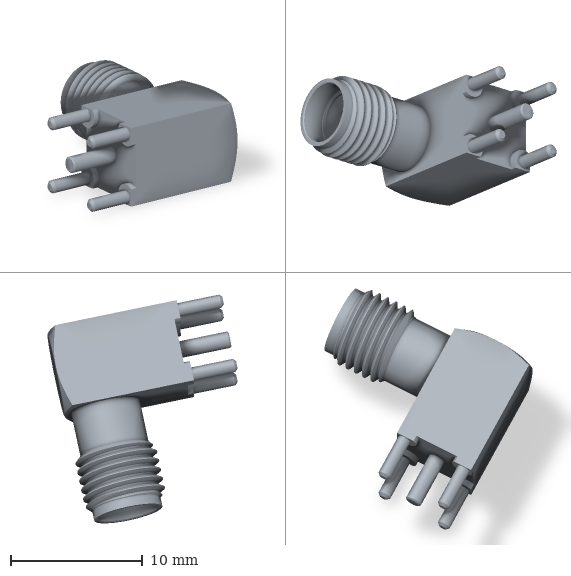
import cadquery as cq
import math


overall_length = 14.8
body_width = 6.35
half_width = body_width / 2
overall_depth = 13.5
pin_length = 3.46
body_depth = overall_depth - pin_length
back_y = half_width
front_y = back_y - body_depth
back_taper_angle = 25.0

trim_margin = 0.15

foot_height = 0.47
foot_diameter = 2.0
pin_offset = 2.55
pin_tip_y = front_y - pin_length
corner_pin_diameter = 1.0
corner_pin_chamfer = 0.2
center_pin_diameter = 1.27
center_pin_chamfer = 0.1

mouth_x = half_width - overall_length
barrel_diameter = 5.3
bore_diameter = 4.6
bore_depth = 1.9
mouth_chamfer = 0.07
floor_chamfer = 0.06

insulator_diameter = 3.98
insulator_hole_diameter = 4.05
insulator_setback = 0.13
contact_diameter = 1.27
contact_hole_diameter = 1.32
contact_setback = 0.06
clearance_gap_depth = 0.15
socket_diameter = 0.98
socket_entry_chamfer = 0.06
socket_depth = 1.78
socket_cone_angle = 59.0

thread_setback = 0.71
thread_length = 4.38
thread_start_x = mouth_x + thread_setback
thread_end_x = thread_start_x + thread_length
thread_pitch = 0.71
crest_radius = 3.14
root_radius = 2.72
crest_flat = 0.07
flank_angle = 30.0
thread_embed = 0.07
ridge_turns = 9
lead_in_turns = 5
top_crest_setback = 3.36


def x_cylinder(diameter, start_x, end_x):
    """Cylinder on the jack axis."""
    return cq.Workplane("YZ").workplane(offset=start_x).circle(diameter / 2).extrude(end_x - start_x)


def pin(x, z, diameter, base_y, tip_chamfer):
    """Pin along -Y with a chamfered tip."""
    shaft = cq.Workplane("XZ", origin=(x, base_y, z)).circle(diameter / 2).extrude(base_y - pin_tip_y)
    return shaft.faces("<Y").chamfer(tip_chamfer)


def make_body():
    """Square block whose back corners are turned off by a cone about the Y axis."""
    block = cq.Workplane("XZ", origin=(0, back_y, 0)).rect(body_width, body_width)
    block = block.extrude(body_depth - foot_height)
    corner_radius = half_width * math.sqrt(2) + trim_margin
    taper_depth = (corner_radius - half_width) * math.tan(math.radians(back_taper_angle))
    turned = (
        cq.Workplane("XY")
        .moveTo(0, back_y)
        .lineTo(half_width, back_y)
        .lineTo(corner_radius, back_y - taper_depth)
        .lineTo(corner_radius, front_y)
        .lineTo(0, front_y)
        .close()
        .revolve(360, (0, 0), (0, 1))
    )
    return block.intersect(turned)


def make_feet():
    """Four round standoffs, trimmed flush with the sides of the block."""
    corners = cq.Workplane("XZ", origin=(0, front_y + foot_height, 0))
    feet = corners.rect(2 * pin_offset, 2 * pin_offset, forConstruction=True).vertices()
    feet = feet.circle(foot_diameter / 2).extrude(foot_height)
    return feet.intersect(corners.rect(body_width, body_width).extrude(foot_height))


def make_thread():
    """Right-handed helical ridge on a core, trimmed by 45 degree end chamfers."""
    ridge_start_x = mouth_x + top_crest_setback - lead_in_turns * thread_pitch
    ridge_length = ridge_turns * thread_pitch
    base_radius = root_radius - thread_embed
    half_crest = crest_flat / 2
    half_base = half_crest + (crest_radius - base_radius) * math.tan(math.radians(flank_angle))
    helix = cq.Wire.makeHelix(thread_pitch, ridge_length, base_radius)
    ridge = (
        cq.Workplane("XZ")
        .polyline([
            (base_radius, -half_base),
            (crest_radius, -half_crest),
            (crest_radius, half_crest),
            (base_radius, half_base),
        ])
        .close()
        .sweep(cq.Workplane(helix), isFrenet=True)
    )
    ridge = ridge.rotate((0, 0, 0), (0, 1, 0), 90).rotate((0, 0, 0), (1, 0, 0), 180)
    ridge = ridge.translate((ridge_start_x, 0, 0))
    barrel_radius = barrel_diameter / 2
    outer_radius = crest_radius + trim_margin
    chamfer_run = outer_radius - barrel_radius
    envelope = (
        cq.Workplane("XY")
        .moveTo(thread_start_x, 0)
        .lineTo(thread_start_x, barrel_radius)
        .lineTo(thread_start_x + chamfer_run, outer_radius)
        .lineTo(thread_end_x - chamfer_run, outer_radius)
        .lineTo(thread_end_x, barrel_radius)
        .lineTo(thread_end_x, 0)
        .close()
        .revolve(360, (0, 0), (1, 0))
    )
    core_end_x = ridge_start_x + ridge_length + thread_pitch
    core = x_cylinder(2 * root_radius, ridge_start_x - thread_pitch, core_end_x)
    return core.union(ridge).intersect(envelope)


def make_bore():
    """Bore with a chamfered mouth and a chamfer around its floor."""
    floor_x = mouth_x + bore_depth
    bore_radius = bore_diameter / 2
    return (
        cq.Workplane("XY")
        .moveTo(mouth_x, 0)
        .lineTo(mouth_x, bore_radius + mouth_chamfer)
        .lineTo(mouth_x + mouth_chamfer, bore_radius)
        .lineTo(floor_x - floor_chamfer, bore_radius)
        .lineTo(floor_x, bore_radius - floor_chamfer)
        .lineTo(floor_x, 0)
        .close()
        .revolve(360, (0, 0), (1, 0))
    )


def make_setback(hole_diameter, insert_diameter, entry_x, setback):
    """Space in front of and around an insert that is set back in its hole."""
    insert_x = entry_x + setback
    gap_end_x = insert_x + clearance_gap_depth
    return x_cylinder(hole_diameter, entry_x, gap_end_x).cut(x_cylinder(insert_diameter, insert_x, gap_end_x))


def make_socket(entry_x):
    """Contact hole with a chamfered entry and a drilled cone at the bottom."""
    entry_radius = socket_diameter / 2
    hole_radius = entry_radius - socket_entry_chamfer
    bottom_x = entry_x + socket_depth
    cone_depth = hole_radius / math.tan(math.radians(socket_cone_angle))
    return (
        cq.Workplane("XY")
        .moveTo(entry_x, 0)
        .lineTo(entry_x, entry_radius)
        .lineTo(entry_x + socket_entry_chamfer, hole_radius)
        .lineTo(bottom_x, hole_radius)
        .lineTo(bottom_x + cone_depth, 0)
        .close()
        .revolve(360, (0, 0), (1, 0))
    )


result = make_body().union(make_feet())
result = result.union(x_cylinder(barrel_diameter, mouth_x, 0))
result = result.union(make_thread())

bore_floor_x = mouth_x + bore_depth
insulator_x = bore_floor_x + insulator_setback
contact_x = insulator_x + contact_setback
result = result.cut(make_bore())
result = result.cut(make_setback(insulator_hole_diameter, insulator_diameter, bore_floor_x, insulator_setback))
result = result.cut(make_setback(contact_hole_diameter, contact_diameter, insulator_x, contact_setback))
result = result.cut(make_socket(contact_x))

for pin_x in (-pin_offset, pin_offset):
    for pin_z in (-pin_offset, pin_offset):
        result = result.union(pin(pin_x, pin_z, corner_pin_diameter, front_y, corner_pin_chamfer))
result = result.union(pin(0, 0, center_pin_diameter, front_y + foot_height, center_pin_chamfer))